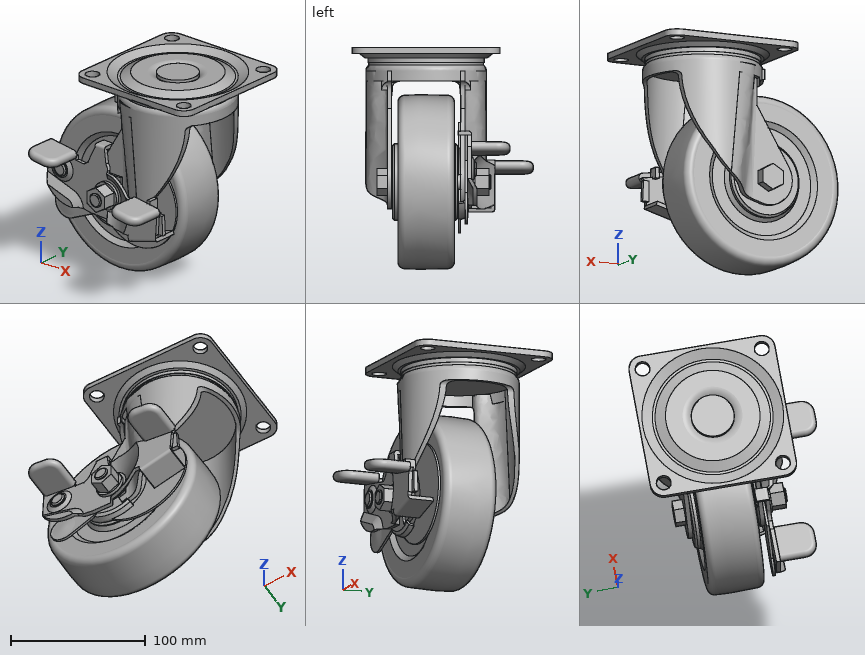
import cadquery as cq
import math


PLATE_SIDE = 110.0
PLATE_THICKNESS = 4.6
PLATE_CORNER_R = 9.9
HOLE_PITCH = 90.0
HOLE_D = 10.9
DISH_RIM_R = 52.6
DISH_FLOOR_OUTER_R = 44.9
DISH_FLOOR_INNER_R = 42.9
DISH_INNER_R = 35.1
DISH_DEPTH = 3.6
DISH_UNDER_TOP_R = 49.5
DISH_UNDER_R = 45.4
DISH_UNDER_Z = -8.0
PIN_HEAD_R = 16.0
PIN_GROOVE_R = 23.1
PIN_GROOVE_DEPTH = 3.0

AXLE_X = -40.0
AXLE_Z = -100.0
BOLT_R = 5.5
BOLT_TIP_CHAMFER = 0.8
WHEEL_R = 65.0
SHOULDER_R = 64.5
TREAD_HALF = 15.7
WHEEL_HALF = 21.0
SIDE_R = 58.0
RECESS_OUTER_R = 45.2
RECESS_INNER_R = 41.2
RECESS_DEPTH = 3.3
HUB_FOOT_R = 31.2
HUB_R = 28.5
HUB_BEVEL = 1.6
HUB_END_FAR = 25.0
HUB_END_NEAR = -23.5

SHEET = 3.3
NECK_R = 43.2
NECK_STEP_R = 42.7
NECK_STEP_Z = -11.2
CROWN_TOP_Z = -13.2
CROWN_BOTTOM_Z = -25.0
CROWN_R = 44.9
CROWN_SHOULDER_R = 44.2
CROWN_SHOULDER_Z = -15.0
CROWN_BEVEL_Z = -17.5
CROWN_ROOF = 3.6
FLANGE_Y = 28.9
FLANGE_R = 20.0
LEG_REAR_X = -30.4
LEG_ROOT_R = 6.6
LEG_CORNER_Z = -45.5
LEG_FRONT_X = 33.3
LEG_TAIL_ANGLE = -70.0
LEG_LOFT_BOTTOM_Z = -123.8
WEB_MID_Y = 36.6
TOP_FOLD_X, TOP_WEB_X, TOP_CREST_ANGLE = -31.4, -25.0, -101.0
BOTTOM_FOLD_X, BOTTOM_WEB_X, BOTTOM_CREST_ANGLE = -26.4, -13.2, -88.0

HEX_CORNER_D = 19.8
HEAD_HEIGHT = 7.6
FLANGE_NUT_R = 10.9
FLANGE_NUT_HEIGHT = 2.5
NUT_END_Y = -46.9
BOLT_END_Y = -48.3

CAM_FACE_Y = -30.7
SHOE_INNER_Y = -24.0
SHOE_OUTER_Y = -25.5
SHOE_R = 38.0
SHOE_OFFSET = 22.5
LIP_INNER_R = 25.9
WEB_R = 24.1
LIP_PROFILE = [(WEB_R, CAM_FACE_Y), (26.7, -29.4), (27.9, SHOE_OUTER_Y), (27.9, SHOE_INNER_Y),
               (LIP_INNER_R, SHOE_INNER_Y), (25.0, -27.7), (22.3, -FLANGE_Y), (22.3, CAM_FACE_Y)]
LIP_START, LIP_END = 215.0, 303.0
WEB_END = 291.0
LOBE_X, LOBE_Z, LOBE_R = -82.0, -119.3, 11.9
DIMPLE_R = 9.5
DIMPLE_HEIGHT = 0.8
POST_WIDTH = 9.9
POST_TOP_Z = -55.8
CAM_TOP_Z = -84.2
CAM_FRONT_X = -29.4

LEVER_SHEET = 3.0
LEVER_FACE_Y = CAM_FACE_Y - LEVER_SHEET
DISH_FOOT_R = 13.2
DISH_CREST_R = 35.0
LEVER_CREST_Y = -51.0
FLARE_HEIGHT = 4.3
FLARE_TAPER = 57.0
STUD_X, STUD_Z = -84.5, -90.6
STUD_PROFILE = [(0, 0), (10.5, 0), (7.0, 2.0), (5.8, 2.0), (5.8, 2.6), (4.6, 3.6), (0, 3.6)]
PEDAL_WIDTH = 28.0
PEDAL_THICKNESS = 7.3
PEDAL_LENGTH = 28.7
PEDAL_CORNER_R = 9.9
PEDAL_EDGE_R = 3.5
PEDAL_TILT = 8.0
LEFT_PEDAL = (-84.2, LEVER_FACE_Y, -75.0)
RIGHT_PEDAL = (12.9, LEVER_CREST_Y, -89.3)
TAB_REAR_X, TAB_FRONT_X = -52.5, -42.9
TAB_BOTTOM_Z, TAB_TOP_Z = -65.2, -62.2
TAB_END_Y = -23.8
BEND_R = 2.1
PEG_REAR_X, PEG_FRONT_X = 14.0, 17.2
PEG_BOTTOM_Z, PEG_TOP_Z = -91.5, -83.5
PEG_END_Y = -42.9
LOWER_LIP_REAR, LOWER_LIP_FRONT = (-4.5, -119.5), (22.1, -112.2)


def y_cylinder(radius, y_from, y_to, x=AXLE_X, z=AXLE_Z):
    """Cylinder along Y between two Y positions."""
    low = min(y_from, y_to)
    return cq.Workplane(cq.Solid.makeCylinder(
        radius, abs(y_to - y_from), cq.Vector(x, low, z), cq.Vector(0, 1, 0)))


def xz_prism(sketch, y_from, y_to):
    """Extrude a closed XZ sketch between two Y positions (y_from < y_to)."""
    return sketch.extrude(y_from - y_to).translate((0, y_from, 0))


def xz_polygon(points, y_from, y_to):
    """Extruded polygon given as (x, z) points."""
    return xz_prism(cq.Workplane("XZ").polyline(points).close(), y_from, y_to)


def xz_box(x_from, x_to, z_from, z_to, y_from, y_to):
    """Block between pairs of X, Z and Y limits."""
    return xz_polygon([(x_from, z_from), (x_from, z_to), (x_to, z_to), (x_to, z_from)], y_from, y_to)


def about_axle(radius, angle):
    """Point (x, z) at a polar position about the axle, angle in degrees."""
    a = math.radians(angle)
    return (AXLE_X + radius * math.cos(a), AXLE_Z + radius * math.sin(a))


def make_plate():
    square = (cq.Workplane("XY").rect(PLATE_SIDE, PLATE_SIDE).extrude(-PLATE_THICKNESS)
              .edges("|Z").fillet(PLATE_CORNER_R))
    square = (square.faces(">Z").workplane(origin=(0, 0, 0))
              .rect(HOLE_PITCH, HOLE_PITCH, forConstruction=True).vertices().hole(HOLE_D))
    underside = (cq.Workplane("XZ")
                 .polyline([(0, -PLATE_THICKNESS), (DISH_UNDER_TOP_R, -PLATE_THICKNESS),
                            (DISH_UNDER_R, DISH_UNDER_Z), (0, DISH_UNDER_Z)])
                 .close().revolve(360, (0, 0), (0, 1)))
    groove = (cq.Workplane("XZ")
              .polyline([(DISH_RIM_R, 0), (DISH_FLOOR_OUTER_R, -DISH_DEPTH),
                         (DISH_FLOOR_INNER_R, -DISH_DEPTH), (DISH_INNER_R, 0)])
              .close().revolve(360, (0, 0), (0, 1)))
    sag = 0.7
    pin_groove = (cq.Workplane("XZ").moveTo(PIN_HEAD_R, 0)
                  .lineTo(PIN_HEAD_R, -PIN_GROOVE_DEPTH)
                  .threePointArc(((PIN_HEAD_R + PIN_GROOVE_R) / 2 - sag, -PIN_GROOVE_DEPTH / 2 + sag),
                                 (PIN_GROOVE_R, 0))
                  .close().revolve(360, (0, 0), (0, 1)))
    return square.union(underside).cut(groove).cut(pin_groove)


def on_circle(radius, angle):
    """Plan point at a polar position about the swivel axis, angle in degrees."""
    a = math.radians(angle)
    return (radius * math.cos(a), radius * math.sin(a))


def web_section(z, fold_x, web_x, crest_angle):
    """Plan section of a flat flange and the S-shaped web that rises to the round front."""
    rear_x = AXLE_X - 2 * FLANGE_R
    ends = [(1, 0), on_circle(1, crest_angle + 90)]
    inner_shift = SHEET * math.sqrt(0.5)
    outer_web = (web_x, -WEB_MID_Y)
    inner_web = (web_x + inner_shift, inner_shift - WEB_MID_Y)
    inner_crest = on_circle(CROWN_R - SHEET, crest_angle)
    inner_fold = (fold_x + SHEET / 2, SHEET - FLANGE_Y)
    return (cq.Workplane("XY").workplane(offset=z)
            .moveTo(rear_x, -FLANGE_Y).lineTo(fold_x, -FLANGE_Y)
            .spline([outer_web, on_circle(CROWN_R, crest_angle)], tangents=ends, includeCurrent=True)
            .lineTo(*inner_crest)
            .spline([inner_web, inner_fold], tangents=[(-ends[1][0], -ends[1][1]), (-1, 0)],
                    includeCurrent=True)
            .lineTo(rear_x, SHEET - FLANGE_Y)
            .close().val())


def front_zone_section(z, crest_angle):
    """Plan wedge that keeps the round front of a leg ahead of its crest."""
    return (cq.Workplane("XY").workplane(offset=z)
            .polyline([(0, 0), on_circle(2 * CROWN_R, crest_angle), (2 * CROWN_R, -2 * CROWN_R),
                       (2 * CROWN_R, 0)])
            .close().val())


def loft_leg(section, top, bottom):
    return cq.Workplane(cq.Solid.makeLoft(
        [section(CROWN_BEVEL_Z, *top), section(LEG_LOFT_BOTTOM_Z, *bottom)], True))


def leg_outline():
    """Side outline shared by both legs, as a prism across the whole fork."""
    rise = LEG_CORNER_Z - AXLE_Z
    run = LEG_REAR_X - AXLE_X
    tangent_angle = (math.degrees(math.atan2(rise, run))
                     + math.degrees(math.acos(FLANGE_R / math.hypot(rise, run))))
    front_root_r = 4.1
    half = math.sqrt(0.5)
    sketch = (cq.Workplane("XZ")
              .moveTo(LEG_REAR_X - LEG_ROOT_R, CROWN_BOTTOM_Z)
              .threePointArc((LEG_REAR_X - LEG_ROOT_R * (1 - half),
                              CROWN_BOTTOM_Z - LEG_ROOT_R * (1 - half)),
                             (LEG_REAR_X, CROWN_BOTTOM_Z - LEG_ROOT_R))
              .lineTo(LEG_REAR_X, LEG_CORNER_Z)
              .lineTo(*about_axle(FLANGE_R, tangent_angle))
              .threePointArc(about_axle(FLANGE_R, (tangent_angle + 360 + LEG_TAIL_ANGLE) / 2),
                             about_axle(FLANGE_R, LEG_TAIL_ANGLE))
              .threePointArc((-6.6, -106.5), (12.7, -85.5))
              .threePointArc((27.2, -59.4), (LEG_FRONT_X, CROWN_BOTTOM_Z - front_root_r))
              .threePointArc((LEG_FRONT_X + front_root_r * (1 - half),
                              CROWN_BOTTOM_Z - front_root_r * (1 - half)),
                             (LEG_FRONT_X + front_root_r, CROWN_BOTTOM_Z))
              .lineTo(LEG_FRONT_X + front_root_r, CROWN_BEVEL_Z)
              .lineTo(LEG_REAR_X - LEG_ROOT_R, CROWN_BEVEL_Z)
              .close())
    return xz_prism(sketch, -CROWN_R - 1.6, CROWN_R + 1.6)


def make_fork():
    crown = (cq.Workplane("XZ")
             .moveTo(0, DISH_UNDER_Z).lineTo(NECK_R, DISH_UNDER_Z).lineTo(NECK_R, NECK_STEP_Z)
             .lineTo(NECK_STEP_R, NECK_STEP_Z).lineTo(NECK_STEP_R, CROWN_TOP_Z)
             .threePointArc((CROWN_SHOULDER_R, CROWN_SHOULDER_Z), (CROWN_R, CROWN_BEVEL_Z))
             .lineTo(CROWN_R, CROWN_BOTTOM_Z).lineTo(CROWN_R - SHEET, CROWN_BOTTOM_Z)
             .lineTo(CROWN_R - SHEET, CROWN_TOP_Z - CROWN_ROOF).lineTo(0, CROWN_TOP_Z - CROWN_ROOF)
             .close().revolve(360, (0, 0), (0, 1)))
    shell = (cq.Workplane("XY").workplane(offset=LEG_LOFT_BOTTOM_Z)
             .circle(CROWN_R).circle(CROWN_R - SHEET).extrude(CROWN_BEVEL_Z - LEG_LOFT_BOTTOM_Z))
    web = loft_leg(web_section, (TOP_FOLD_X, TOP_WEB_X, TOP_CREST_ANGLE),
                   (BOTTOM_FOLD_X, BOTTOM_WEB_X, BOTTOM_CREST_ANGLE))
    front = loft_leg(front_zone_section, (TOP_CREST_ANGLE,), (BOTTOM_CREST_ANGLE,)).intersect(shell)
    outline = leg_outline()
    leg = web.union(front).intersect(outline)
    root_depth = CROWN_BOTTOM_Z - CROWN_BEVEL_Z - LEG_ROOT_R
    skirt = (cq.Workplane("XY").workplane(offset=CROWN_BEVEL_Z)
             .circle(CROWN_R).circle(CROWN_R - SHEET).extrude(root_depth).intersect(outline))
    ahead_of_root = cq.Workplane("XY").box(2 * CROWN_R, 2 * CROWN_R, 2 * CROWN_R)
    skirt = skirt.cut(ahead_of_root.translate((LEG_REAR_X + CROWN_R, 0, CROWN_BOTTOM_Z)))
    fork = crown.union(skirt).union(leg).union(leg.mirror("XZ"))
    return fork.cut(y_cylinder(BOLT_R, -CROWN_R, CROWN_R))


def make_wheel():
    web_y = WHEEL_HALF - RECESS_DEPTH
    corner_x, corner_y = SIDE_R + 5.0, WHEEL_HALF - 1.5
    wheel = (cq.Workplane("XY")
             .moveTo(0, HUB_END_NEAR)
             .lineTo(HUB_R - HUB_BEVEL, HUB_END_NEAR)
             .lineTo(HUB_R, HUB_END_NEAR + HUB_BEVEL)
             .lineTo(HUB_R, -WHEEL_HALF)
             .lineTo(HUB_FOOT_R, -web_y)
             .lineTo(RECESS_INNER_R, -web_y)
             .lineTo(RECESS_OUTER_R, -WHEEL_HALF)
             .lineTo(SIDE_R, -WHEEL_HALF)
             .threePointArc((corner_x, -corner_y), (SHOULDER_R, -TREAD_HALF))
             .threePointArc((WHEEL_R, 0), (SHOULDER_R, TREAD_HALF))
             .threePointArc((corner_x, corner_y), (SIDE_R, WHEEL_HALF))
             .lineTo(RECESS_OUTER_R, WHEEL_HALF)
             .lineTo(RECESS_INNER_R, web_y)
             .lineTo(HUB_FOOT_R, web_y)
             .lineTo(HUB_R, WHEEL_HALF)
             .lineTo(HUB_R, HUB_END_FAR - HUB_BEVEL)
             .lineTo(HUB_R - HUB_BEVEL, HUB_END_FAR)
             .lineTo(0, HUB_END_FAR)
             .close().revolve(360, (0, 0), (0, 1)))
    wheel = wheel.translate((AXLE_X, 0, AXLE_Z))
    return wheel.cut(y_cylinder(BOLT_R, HUB_END_NEAR, HUB_END_FAR))


def hexagon(y_from, y_to):
    sketch = cq.Workplane("XZ").polygon(6, HEX_CORNER_D)
    upright = xz_prism(sketch, y_from, y_to).rotate((0, 0, 0), (0, 1, 0), 30)
    return upright.translate((AXLE_X, 0, AXLE_Z))


def make_bolt():
    shank = y_cylinder(BOLT_R, BOLT_END_Y, FLANGE_Y).faces("<Y").chamfer(BOLT_TIP_CHAMFER)
    return shank.union(hexagon(FLANGE_Y, FLANGE_Y + HEAD_HEIGHT))


def make_nut():
    flange_end = LEVER_FACE_Y - FLANGE_NUT_HEIGHT
    nut = y_cylinder(FLANGE_NUT_R, flange_end, LEVER_FACE_Y).union(hexagon(NUT_END_Y, flange_end))
    return nut.cut(y_cylinder(BOLT_R, NUT_END_Y, LEVER_FACE_Y))


def axle_sector(radius, start, end, y_from, y_to):
    """Pie slice about the axle."""
    sketch = (cq.Workplane("XZ").moveTo(AXLE_X, AXLE_Z).lineTo(*about_axle(radius, start))
              .threePointArc(about_axle(radius, (start + end) / 2), about_axle(radius, end)).close())
    return xz_prism(sketch, y_from, y_to)


def make_brake_plate():
    shoe_x = AXLE_X + SHOE_OFFSET
    shoe = y_cylinder(SHOE_R, SHOE_OUTER_Y, SHOE_INNER_Y, x=shoe_x)
    post = xz_box(shoe_x - POST_WIDTH / 2, shoe_x + POST_WIDTH / 2,
                  AXLE_Z + SHOE_R - POST_WIDTH / 2, POST_TOP_Z, SHOE_OUTER_Y, SHOE_INNER_Y)
    shoe = shoe.union(post)
    shoe = shoe.cut(y_cylinder(LIP_INNER_R, SHOE_OUTER_Y, SHOE_INNER_Y))
    ring = (cq.Workplane("XY").polyline(LIP_PROFILE).close().revolve(360, (0, 0), (0, 1))
            .translate((AXLE_X, 0, AXLE_Z)))
    lip = ring.intersect(axle_sector(2 * WEB_R, LIP_START, LIP_END, CAM_FACE_Y, SHOE_INNER_Y))

    lobe = y_cylinder(LOBE_R, CAM_FACE_Y, -FLANGE_Y, LOBE_X, LOBE_Z)
    arm = xz_polygon([(-93.7, LOBE_Z), (-77.0, -130.0), (-55.5, -120.5), (CAM_FRONT_X, -108.9),
                      (CAM_FRONT_X, CAM_TOP_Z), (-66.0, CAM_TOP_Z)], CAM_FACE_Y, -FLANGE_Y)
    web = axle_sector(WEB_R, LIP_START, WEB_END, CAM_FACE_Y, -FLANGE_Y)
    dimple = cq.Workplane(cq.Solid.makeCone(
        DIMPLE_R, 0, DIMPLE_HEIGHT,
        cq.Vector(LOBE_X, CAM_FACE_Y, LOBE_Z), cq.Vector(0, -1, 0)))
    plate = lobe.union(arm).union(web).union(dimple).union(lip).union(shoe)
    return plate.cut(y_cylinder(BOLT_R, CAM_FACE_Y, SHOE_INNER_Y))


def lever_die():
    """Solid whose -Y face is the formed outer surface of the lever sheet."""
    reach = 99.0
    back_y = 0.0
    slab = xz_polygon([(-107.2, -140.2), (reach, -140.2), (reach, -49.5), (-107.2, -49.5)],
                      LEVER_FACE_Y, back_y)
    height = LEVER_FACE_Y - LEVER_CREST_Y
    rear_slope = 1.5
    wedge = (cq.Workplane("XY").workplane(offset=-148.5)
             .polyline([(AXLE_X, back_y), (AXLE_X, LEVER_FACE_Y),
                        (AXLE_X + height / rear_slope, LEVER_CREST_Y),
                        (reach, LEVER_CREST_Y), (reach, back_y)])
             .close().extrude(reach))
    cone = cq.Workplane(cq.Solid.makeCone(
        DISH_FOOT_R, DISH_CREST_R, height,
        cq.Vector(AXLE_X, LEVER_FACE_Y, AXLE_Z), cq.Vector(0, -1, 0)))
    flare = (cq.Workplane("XZ", origin=(0, LEVER_FACE_Y, 0))
             .moveTo(-105.6, -95.0).lineTo(-72.3, -106.0)
             .threePointArc((-66.8, -110.0), (-63.7, -118.0))
             .lineTo(-63.7, -132.0).lineTo(-105.6, -132.0).close()
             .extrude(FLARE_HEIGHT, taper=FLARE_TAPER))
    return slab.union(wedge.cut(cone)).union(flare)


def lever_outline():
    sketch = (cq.Workplane("XZ").moveTo(-99.2, -97.4)
              .lineTo(-98.0, -73.6)
              .lineTo(-71.0, -77.5)
              .lineTo(-71.0, -80.7)
              .lineTo(-63.4, -81.5)
              .threePointArc((-59.7, -79.0), (-57.3, -74.4))
              .lineTo(TAB_REAR_X, TAB_BOTTOM_Z)
              .lineTo(TAB_FRONT_X, TAB_BOTTOM_Z)
              .lineTo(-41.5, -75.5)
              .lineTo(-39.0, -80.2)
              .lineTo(-28.5, -80.8)
              .lineTo(-17.2, -84.5)
              .lineTo(-0.5, -89.6)
              .lineTo(-0.5, -87.8)
              .lineTo(25.4, -91.4)
              .lineTo(23.6, -94.0)
              .lineTo(*LOWER_LIP_FRONT)
              .lineTo(*LOWER_LIP_REAR)
              .lineTo(-4.8, -117.2)
              .lineTo(-8.7, -117.0)
              .lineTo(-24.6, -120.1)
              .lineTo(-55.5, -119.1)
              .lineTo(-67.5, -117.0)
              .threePointArc((-90.0, -111.5), (-97.2, -102.3))
              .close())
    return xz_prism(sketch, LEVER_CREST_Y - 1.6, CAM_FACE_Y)


def make_pedal(position):
    """Tread pedal pointing to -Y from the given root centre."""
    pedal = (cq.Workplane("XY")
             .box(PEDAL_WIDTH, PEDAL_LENGTH, PEDAL_THICKNESS)
             .translate((0, -PEDAL_LENGTH / 2, 0)))
    pedal = pedal.edges("|Z and <Y").fillet(PEDAL_CORNER_R)
    pedal = pedal.faces("not(>Y)").edges("(>Z or <Z) and (not >Y)").fillet(PEDAL_EDGE_R)
    return pedal.rotate((0, 0, 0), (0, 1, 0), PEDAL_TILT).translate(position)


def make_lower_lip():
    """Lower front edge of the lever, bent in towards the wheel."""
    rise = LOWER_LIP_FRONT[1] - LOWER_LIP_REAR[1]
    run = LOWER_LIP_FRONT[0] - LOWER_LIP_REAR[0]
    length = math.hypot(run, rise)
    lip = xz_box(0, length, -LEVER_SHEET, 0, LEVER_CREST_Y, CAM_FACE_Y)
    lip = lip.edges("<Z and <Y").fillet(BEND_R)
    slope = math.degrees(math.atan2(rise, run))
    return lip.rotate((0, 0, 0), (0, 1, 0), -slope).translate(
        (LOWER_LIP_REAR[0], 0, LOWER_LIP_REAR[1]))


def make_front_lip():
    """Front edge of the lever, stepped back behind the sheet."""
    step_y = LEVER_CREST_Y + LEVER_SHEET
    end_y = step_y + LEVER_SHEET
    root = xz_polygon([(21.5, -94.0), (23.6, -94.0), (22.5, -109.7), (21.5, -109.7)],
                      LEVER_CREST_Y, end_y)
    strip = xz_polygon([(23.0, -94.0), (26.0, -94.0), (26.9, -109.7), (22.3, -109.7)], step_y, end_y)
    return root.union(strip)


def make_lever():
    die = lever_die()
    lever = die.cut(die.translate((0, LEVER_SHEET, 0))).intersect(lever_outline())
    tab = xz_box(TAB_REAR_X, TAB_FRONT_X, TAB_BOTTOM_Z, TAB_TOP_Z, LEVER_FACE_Y, TAB_END_Y)
    tab = tab.edges(">Z and <Y").fillet(BEND_R)
    peg = xz_box(PEG_REAR_X, PEG_FRONT_X, PEG_BOTTOM_Z, PEG_TOP_Z, LEVER_CREST_Y, PEG_END_Y)
    lever = lever.union(tab).union(peg).union(make_lower_lip()).union(make_front_lip())
    stud = (cq.Workplane("XY").polyline(STUD_PROFILE).close().revolve(360, (0, 0), (0, 1))
            .mirror("XZ").translate((STUD_X, LEVER_FACE_Y, STUD_Z)))
    lever = lever.union(stud)
    for position in (LEFT_PEDAL, RIGHT_PEDAL):
        lever = lever.union(make_pedal(position))
    return lever.cut(y_cylinder(BOLT_R, LEVER_FACE_Y, CAM_FACE_Y))


plate = make_plate()
fork = make_fork()
wheel = make_wheel()
bolt = make_bolt()
nut = make_nut()
brake_plate = make_brake_plate()
lever = make_lever()

bodies = [plate, fork, wheel, bolt, nut, brake_plate, lever]
result = cq.Compound.makeCompound([body.solids().val() for body in bodies])